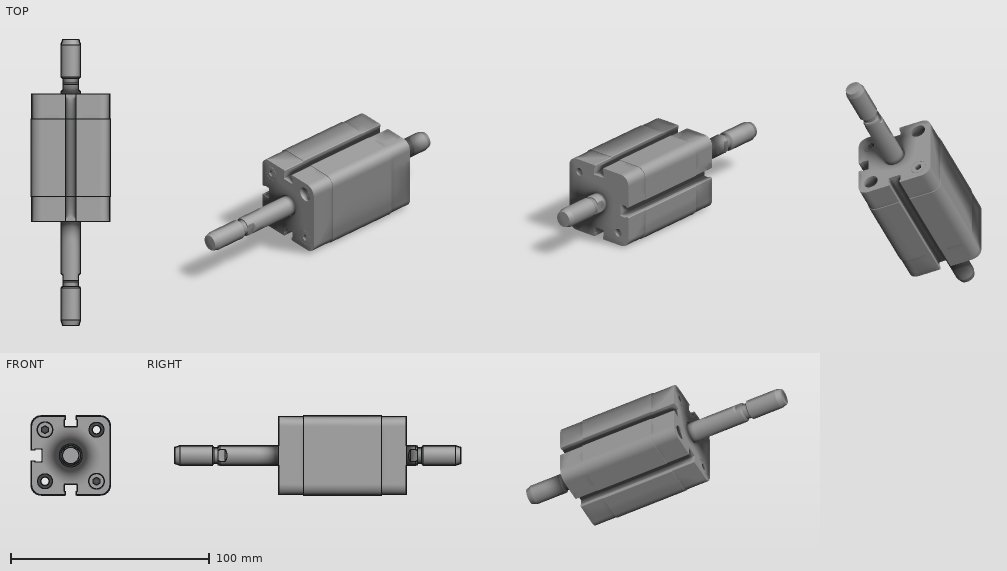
import cadquery as cq


body_width = 40.2
cap_width = 39.5
corner_radius = 5.2
cap_length = 12.7
tube_length = 39.2
body_length = tube_length + 2 * cap_length

slot_mouth_width = 5.3
slot_width = 6.5
cap_slot_floor = 14.5
tube_slot_floor = 14.6
lip_inner = 18.0
lip_radius = 0.5
floor_radius = 0.3
slot_angles = (0, 180, -90)

hole_offset = 13.0
hole_places = [(-hole_offset, -hole_offset), (hole_offset, hole_offset)]
screw_places = [(-hole_offset, hole_offset), (hole_offset, -hole_offset)]
hole_diameter = 4.2
counterbore_diameter = 7.5
counterbore_depth = 7.2
screw_head_diameter = 7.7
screw_recess_diameter = 8.0
screw_recess_depth = 0.5
socket_corner_diameter = 3.9
socket_depth = 3.6

overall_length = 144.5
rod_diameter = 10.0
front_rod_length = 52.5
rear_rod_length = overall_length - body_length - front_rod_length
front_tip = -front_rod_length
rear_tip = body_length + rear_rod_length
rod_recess_diameter = 11.5
rod_recess_depth = 0.7
tip_diameter = 8.2
tip_chamfer_length = 2.7
thread_length = 19.1
neck_diameter = 8.0
thread_runout = 0.7
neck_end = 22.0
shoulder_diameter = 9.4
shoulder_chamfer_length = 0.9
flat_end = 25.5
flats_across = neck_diameter


def plane_at(y):
    """Workplane in X and Z at the given Y; a negative extrusion runs toward +Y."""
    return cq.Workplane("XZ", origin=(0, y, 0))


def section(width, slot_floor, start, length):
    """Square bar along Y; its corner arcs keep the same centres for every width."""
    radius = corner_radius - (body_width - width) / 2
    bar = plane_at(start).rect(width, width).extrude(-length).edges("|Y").fillet(radius)
    for angle in slot_angles:
        bar = bar.cut(slot(width / 2, slot_floor, start, length).rotate((0, 0, 0), (0, 1, 0), angle))
    return bar


def slot(face, slot_floor, start, length):
    """Cutter for a lipped slot in the +Z side, whose outer face is at the given height."""
    half_mouth = slot_mouth_width / 2
    half_slot = slot_width / 2
    half_outline = (
        plane_at(start)
        .moveTo(0, face)
        .lineTo(half_mouth + lip_radius, face)
        .radiusArc((half_mouth, face - lip_radius), -lip_radius)
        .lineTo(half_mouth, lip_inner)
        .lineTo(half_slot, lip_inner)
        .lineTo(half_slot, slot_floor + floor_radius)
        .radiusArc((half_slot - floor_radius, slot_floor), floor_radius)
        .lineTo(0, slot_floor)
    )
    return half_outline.mirrorY().extrude(-length)


def round_cut(diameter, depth, places):
    """Round holes going into the front face."""
    return plane_at(0).pushPoints(places).circle(diameter / 2).extrude(-depth)


def rod_end(length):
    """Turned rod end along +Y: tip at 0, ending as a plain rod at the given length."""
    rod_radius = rod_diameter / 2
    neck_radius = neck_diameter / 2
    half_outline = (
        cq.Workplane("XY")
        .lineTo(tip_diameter / 2, 0)
        .lineTo(rod_radius, tip_chamfer_length)
        .lineTo(rod_radius, thread_length)
        .lineTo(neck_radius, thread_length + thread_runout)
        .lineTo(neck_radius, neck_end)
        .lineTo(shoulder_diameter / 2, neck_end)
        .lineTo(rod_radius, neck_end + shoulder_chamfer_length)
        .lineTo(rod_radius, length)
        .lineTo(0, length)
        .close()
    )
    turned = half_outline.revolve(360, (0, 0), (0, 1))
    flat = wrench_flat()
    return turned.cut(flat).cut(flat.mirror("YZ"))


def wrench_flat():
    """Cutter for the flat facing +X, from the neck to a 45 degree run-out."""
    flat_x = flats_across / 2
    cut_depth = rod_diameter / 2 - flat_x
    outline = [
        (flat_x, neck_end),
        (flat_x, flat_end),
        (flat_x + cut_depth, flat_end + cut_depth),
        (flat_x + cut_depth, neck_end),
    ]
    return cq.Workplane("XY").polyline(outline).close().extrude(rod_diameter / 2, both=True)


def rod():
    """Whole rod: two mirrored ends that meet in the middle."""
    half = rod_end(overall_length / 2)
    front = half.translate((0, front_tip, 0))
    rear = half.mirror("XZ").translate((0, rear_tip, 0))
    return front.union(rear)


def body():
    """Tube between two slightly smaller end caps."""
    front_cap = section(cap_width, cap_slot_floor, 0, cap_length)
    tube = section(body_width, tube_slot_floor, cap_length, tube_length)
    rear_cap = section(cap_width, cap_slot_floor, cap_length + tube_length, cap_length)
    return front_cap.union(tube).union(rear_cap)


def screw_recess():
    """Ring-shaped gaps around the screw heads, and their hexagon sockets."""
    gap = round_cut(screw_recess_diameter, screw_recess_depth, screw_places)
    gap = gap.cut(round_cut(screw_head_diameter, screw_recess_depth, screw_places))
    socket = plane_at(0).polygon(6, socket_corner_diameter).extrude(-socket_depth)
    socket = socket.rotate((0, 0, 0), (0, 1, 0), 90)
    for x, z in screw_places:
        gap = gap.union(socket.translate((x, 0, z)))
    return gap


result = (
    body()
    .cut(round_cut(hole_diameter, body_length, hole_places))
    .cut(round_cut(counterbore_diameter, counterbore_depth, hole_places))
    .cut(screw_recess())
    .cut(round_cut(rod_recess_diameter, rod_recess_depth, [(0, 0)]))
    .union(rod())
)